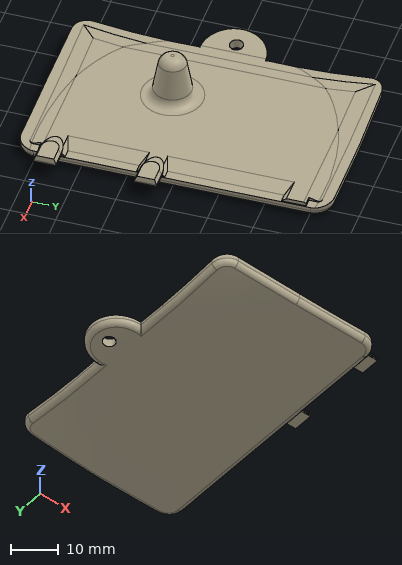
import cadquery as cq
import math

LENGTH = 68.5
TAB_EDGE_LENGTH = 67.7
WIDTH = 42.3
SIDE_TAPER_X = 20.55
TAB_EDGE_BOW = 0.55
CORNER_RADIUS = 4.0
BOTTOM_FILLET = 1.4

RIM_HEIGHT = 2.25
PANEL_HEIGHT = 3.15
PANEL_RISE = PANEL_HEIGHT - RIM_HEIGHT

UPTURN_RADIUS_X = 376.9
UPTURN_LOW_X = 35.9
CREASE_X = -0.4
UPTURN_RADIUS_Y = 133.6
UPTURN_START_Y = 9.95
UNDERSIDE_SOFTNESS = 0.2

TAB_RADIUS = 7.2
HOLE_X = -2.6
HOLE_RADIUS = 1.45

PANEL_TAB_FOOT_X = 2.3
PANEL_SIDE_FOOT_Y = 31.95
PANEL_TAB_SLOPE_WIDTH = 3.55
PANEL_SIDE_SLOPE_WIDTH = 3.2
PANEL_SIDE_END_X = 40.1
PANEL_HINGE_X = 42.0
PANEL_HINGE_HALF = 29.25
PANEL_CORNER_RADIUS = 0.9

RECESSES = [(-24.5, -6.7), (-2.75, 24.95)]
RECESS_TOP_X = 36.45
RECESS_FOOT_X = 40.1
RECESS_END_SLOPE = 1.1

HOOK_CENTRES_Y = [-26.65, -4.65]
HOOK_FOOT_TIP_X = 46.0
HOOK_TOP_TIP_X = 45.7
HOOK_BOTTOM = 2.75
HOOK_TOP = 4.25
HOOK_NOSE_END_X = 42.5
HOOK_FOOT_NOSE_X = 37.4
HOOK_TOP_NOSE_X = 40.2
HOOK_FOOT_WIDTH = 4.9
HOOK_TOP_WIDTH = 3.85

KNOB_X = 17.4
KNOB_Y = -7.7
KNOB_HEIGHT = 14.0
KNOB_FOOT_RADIUS = 6.7
KNOB_FLARE_RADIUS = 2.55
KNOB_SHOULDER_RADIUS = 3.0
KNOB_SHOULDER_HEIGHT = 12.0
KNOB_DOME_MID_RADIUS = 1.9
KNOB_DOME_MID_HEIGHT = 13.5
KNOB_FLAT_RADIUS = 0.35
KNOB_DRAFT = math.radians(8.5)

REACH_Z = 6.85
REACH_X = WIDTH + 3.4
REACH_TAB_X = -TAB_RADIUS - 3.4
REACH_Y = LENGTH / 2 + 3.4
PANEL_OVERLAP = 0.35
GRID_STEPS = 20


def arc_rise(radius, distance):
    """Rise of an arc at a distance from the point where it is level."""
    return radius - math.sqrt(radius**2 - distance**2)


UPTURN_LOW_Z = -arc_rise(UPTURN_RADIUS_X, UPTURN_LOW_X - CREASE_X)


def side_rise(y):
    return arc_rise(UPTURN_RADIUS_Y, max(abs(y) - UPTURN_START_Y, 0))


def upturn(x, y):
    """Height of the bent surface; it is above zero only outside the crease."""
    return UPTURN_LOW_Z + arc_rise(UPTURN_RADIUS_X, x - UPTURN_LOW_X) + side_rise(y)


def underside(x, y):
    """Height of the underside: the higher of zero and the upturn, softly blended."""
    bent = upturn(x, y)
    return (bent + math.hypot(bent, UNDERSIDE_SOFTNESS)) / 2


def space_over_underside():
    points = []
    for i in range(GRID_STEPS + 1):
        x = REACH_TAB_X + (REACH_X - REACH_TAB_X) * i / GRID_STEPS
        row = []
        for j in range(GRID_STEPS + 1):
            y = REACH_Y * (2 * j / GRID_STEPS - 1)
            row.append(cq.Vector(x, y, underside(x, y)))
        points.append(row)
    face = cq.Face.makeSplineApprox(points, tol=0.01, minDeg=3, maxDeg=5)
    return cq.Workplane(cq.Solid.extrudeLinear(face, cq.Vector(0, 0, 2 * REACH_Z)))


def space_over_sheet():
    """Space above both the plane Z = 0 and the upturn, with a sharp crease between them."""

    def barrel_point(y):
        return (y, UPTURN_RADIUS_X - side_rise(y))

    arc_middle_y = (UPTURN_START_Y + REACH_Y) / 2
    barrel = (
        cq.Workplane("YZ", origin=(UPTURN_LOW_X, 0, UPTURN_RADIUS_X + UPTURN_LOW_Z))
        .moveTo(-REACH_Y, 0)
        .lineTo(*barrel_point(-REACH_Y))
        .threePointArc(barrel_point(-arc_middle_y), barrel_point(-UPTURN_START_Y))
        .lineTo(*barrel_point(UPTURN_START_Y))
        .threePointArc(barrel_point(arc_middle_y), barrel_point(REACH_Y))
        .lineTo(REACH_Y, 0)
        .close()
        .revolve(360, (0, 0, 0), (1, 0, 0))
    )
    flat = cq.Workplane().box(2 * LENGTH, 2 * LENGTH, 2 * REACH_Z, centered=(True, True, False))
    return flat.intersect(barrel)


OVER_SHEET = space_over_sheet()
OVER_RIM = OVER_SHEET.translate((0, 0, RIM_HEIGHT))
OVER_PANEL = OVER_SHEET.translate((0, 0, PANEL_HEIGHT))


def plan_blank():
    """Upright prism with the outline of plate and tab, reaching past both faces of the sheet."""
    half_tab_edge = TAB_EDGE_LENGTH / 2
    plate = (
        cq.Workplane()
        .moveTo(WIDTH, -LENGTH / 2)
        .lineTo(WIDTH, LENGTH / 2)
        .lineTo(SIDE_TAPER_X, LENGTH / 2)
        .lineTo(TAB_EDGE_BOW, half_tab_edge)
        .threePointArc((0, 0), (TAB_EDGE_BOW, -half_tab_edge))
        .lineTo(SIDE_TAPER_X, -LENGTH / 2)
        .close()
        .extrude(REACH_Z, both=True)
        .edges("|Z")
        .fillet(CORNER_RADIUS)
    )
    tab = cq.Workplane().circle(TAB_RADIUS).extrude(REACH_Z, both=True)
    return plate.union(tab)


def rim_sheet():
    """Bent sheet at rim level with its lower edge rounded."""
    blank = plan_blank().intersect(space_over_underside())
    return blank.faces("<Z").edges().fillet(BOTTOM_FILLET).cut(OVER_RIM)


def over_border(foot_x, foot_y, axis, slope_width):
    """Space above a border that climbs inwards from a foot line parallel to the axis."""
    foot = cq.Vector(foot_x, foot_y, RIM_HEIGHT)
    slope = math.degrees(math.atan2(PANEL_RISE, slope_width))
    return OVER_RIM.rotate(foot, foot + cq.Vector(*axis), slope)


def panel():
    """Raised panel that follows the upturn, with sloping borders on three sides."""
    side_strip_length = PANEL_SIDE_END_X - PANEL_TAB_FOOT_X
    border_field = (
        cq.Workplane()
        .center(PANEL_TAB_FOOT_X + side_strip_length / 2, 0)
        .rect(side_strip_length, 2 * PANEL_SIDE_FOOT_Y)
        .extrude(REACH_Z)
        .edges("|Z and >X")
        .fillet(PANEL_CORNER_RADIUS)
    )
    hinge_strip = (
        cq.Workplane()
        .center((PANEL_TAB_FOOT_X + PANEL_HINGE_X) / 2, 0)
        .rect(PANEL_HINGE_X - PANEL_TAB_FOOT_X, 2 * PANEL_HINGE_HALF)
        .extrude(REACH_Z)
    )
    body = border_field.union(hinge_strip).intersect(OVER_RIM.translate((0, 0, -PANEL_OVERLAP)))
    return (
        body.cut(OVER_PANEL)
        .cut(over_border(PANEL_TAB_FOOT_X, 0, (0, -0.7, 0), PANEL_TAB_SLOPE_WIDTH))
        .cut(over_border(0, -PANEL_SIDE_FOOT_Y, (0.7, 0, 0), PANEL_SIDE_SLOPE_WIDTH))
        .cut(over_border(0, PANEL_SIDE_FOOT_Y, (-0.7, 0, 0), PANEL_SIDE_SLOPE_WIDTH))
    )


def hinge_recess(y_low, y_high):
    """Recess open to the hinge edge, with a sloping back and sloping ends."""
    along_x = (
        cq.Workplane("XZ", origin=(0, y_high, 0))
        .moveTo(RECESS_TOP_X, PANEL_HEIGHT)
        .lineTo(RECESS_FOOT_X, RIM_HEIGHT)
        .lineTo(REACH_X, RIM_HEIGHT)
        .lineTo(REACH_X, PANEL_HEIGHT)
        .close()
        .extrude(y_high - y_low)
    )
    along_y = (
        cq.Workplane("YZ")
        .moveTo(y_low, PANEL_HEIGHT)
        .lineTo(y_low + RECESS_END_SLOPE, RIM_HEIGHT)
        .lineTo(y_high - RECESS_END_SLOPE, RIM_HEIGHT)
        .lineTo(y_high, PANEL_HEIGHT)
        .close()
        .extrude(REACH_X)
    )
    return along_x.intersect(along_y)


def hook_outline(plane, nose_x, tip_x, width):
    """Closed U with a half-ellipse nose pointing away from the tip."""
    half = width / 2
    nose_length = HOOK_NOSE_END_X - nose_x
    return (
        plane.moveTo(HOOK_NOSE_END_X, half)
        .lineTo(tip_x, half)
        .lineTo(tip_x, -half)
        .lineTo(HOOK_NOSE_END_X, -half)
        .parametricCurve(
            lambda t: (
                HOOK_NOSE_END_X - nose_length * math.sin(math.pi * t),
                -half * math.cos(math.pi * t),
            ),
            makeWire=False,
        )
        .wire()
    )


def hinge_hook(y):
    """Hook with a straight lower part and an upper part that narrows upwards."""
    foot = (HOOK_FOOT_NOSE_X, HOOK_FOOT_TIP_X, HOOK_FOOT_WIDTH)
    top = (HOOK_TOP_NOSE_X, HOOK_TOP_TIP_X, HOOK_TOP_WIDTH)
    lower = hook_outline(cq.Workplane(origin=(0, y, HOOK_BOTTOM)), *foot)
    upper = hook_outline(cq.Workplane(origin=(0, y, PANEL_HEIGHT)), *foot)
    upper = hook_outline(upper.workplane(offset=HOOK_TOP - PANEL_HEIGHT), *top)
    return lower.extrude(PANEL_HEIGHT - HOOK_BOTTOM).union(upper.loft(ruled=True))


def knob():
    """Tapered knob with a flared foot and a domed top."""
    flare_centre_z = PANEL_HEIGHT + KNOB_FLARE_RADIUS

    def flare_point(angle):
        return (
            KNOB_FOOT_RADIUS - KNOB_FLARE_RADIUS * math.sin(angle),
            flare_centre_z - KNOB_FLARE_RADIUS * math.cos(angle),
        )

    flare_angle = math.pi / 2 - KNOB_DRAFT
    return (
        cq.Workplane("XZ", origin=(KNOB_X, KNOB_Y, 0))
        .moveTo(0, RIM_HEIGHT)
        .lineTo(KNOB_FOOT_RADIUS, RIM_HEIGHT)
        .lineTo(*flare_point(0))
        .threePointArc(flare_point(flare_angle / 2), flare_point(flare_angle))
        .lineTo(KNOB_SHOULDER_RADIUS, KNOB_SHOULDER_HEIGHT)
        .threePointArc((KNOB_DOME_MID_RADIUS, KNOB_DOME_MID_HEIGHT), (KNOB_FLAT_RADIUS, KNOB_HEIGHT))
        .lineTo(0, KNOB_HEIGHT)
        .close()
        .revolve(360, (0, 0, 0), (0, 1, 0))
    )


result = rim_sheet().union(panel())
for y_low, y_high in RECESSES:
    result = result.cut(hinge_recess(y_low, y_high))
for hook_y in HOOK_CENTRES_Y:
    result = result.union(hinge_hook(hook_y))
result = result.union(knob())
tab_hole = cq.Workplane().center(HOLE_X, 0).circle(HOLE_RADIUS).extrude(REACH_Z)
result = result.cut(tab_hole)